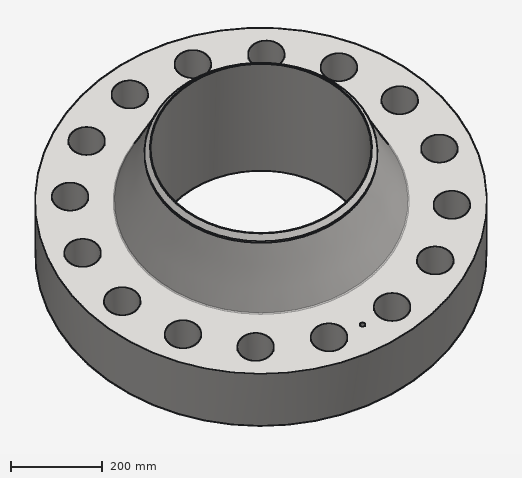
import cadquery as cq
import math

flange_diameter = 984.0
flange_thickness = 177.0
raised_face_diameter = 583.5
raised_face_height = 8.0

hub_height = 177.0
hub_base_diameter = 641.0
hub_root_fillet = 3.0
neck_diameter = 508.0
neck_length = 6.0
bevel_width = 12.0
bevel_height = 12.0
bore_diameter = 480.0

bolt_count = 16
bolt_circle_diameter = 831.0
bolt_hole_diameter = 80.0
small_hole_diameter = 12.0
small_hole_depth = 20.0
drill_point_angle = 118.0

flange_top = raised_face_height + flange_thickness
hub_top = flange_top + hub_height
bevel_start = hub_top - bevel_height
neck_start = bevel_start - neck_length
bolt_pitch = 360.0 / bolt_count


def revolve_section(points):
    """Turn a closed (radius, height) outline into a solid of revolution about Z."""
    return cq.Workplane("XZ").polyline(points).close().revolve(360, (0, 0, 0), (0, 1, 0))


def make_body():
    """Revolve the flange, raised face, bored hub and neck, then round the hub root."""
    bore_radius = bore_diameter / 2
    neck_radius = neck_diameter / 2
    section = [
        (bore_radius, 0),
        (raised_face_diameter / 2, 0),
        (raised_face_diameter / 2, raised_face_height),
        (flange_diameter / 2, raised_face_height),
        (flange_diameter / 2, flange_top),
        (hub_base_diameter / 2, flange_top),
        (neck_radius, neck_start),
        (neck_radius, bevel_start),
        (neck_radius - bevel_width, hub_top),
        (bore_radius, hub_top),
    ]
    hub_root = cq.selectors.RadiusNthSelector(-2)
    return revolve_section(section).edges(hub_root).fillet(hub_root_fillet)


def make_bolt_holes():
    """Cylinders for the evenly spaced bolt holes, the first one on +X."""
    return (
        cq.Workplane("XY")
        .polarArray(bolt_circle_diameter / 2, 0, 360, bolt_count)
        .circle(bolt_hole_diameter / 2)
        .extrude(flange_top)
    )


def make_small_hole():
    """Drilled blind hole in the flange top, half a bolt pitch round from +X."""
    position = cq.Vector(bolt_circle_diameter / 2, 0, flange_top)
    hole_radius = small_hole_diameter / 2
    tip_height = hole_radius / math.tan(math.radians(drill_point_angle / 2))
    section = [
        (0, 0),
        (hole_radius, 0),
        (hole_radius, -small_hole_depth),
        (0, -small_hole_depth - tip_height),
    ]
    return revolve_section(section).translate(position).rotate((0, 0, 0), (0, 0, 1), bolt_pitch / 2)


result = make_body().cut(make_bolt_holes()).cut(make_small_hole())